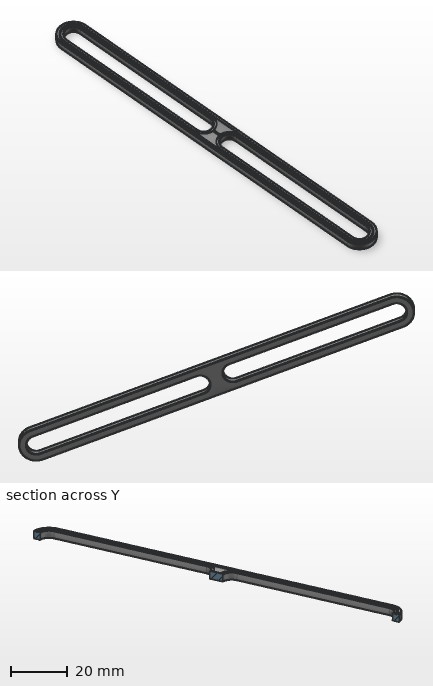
import cadquery as cq

length = 150.0
width = 12.5
thickness = 3.2
edge_chamfer = 0.3

window_width = 6.9
rim_width = (width - window_width) / 2
bridge_width = 2 * rim_width
window_length = length / 2 - rim_width - bridge_width / 2
window_offset = (bridge_width + window_length) / 2

groove_width = 0.5
recess_depth = 0.3
lip_width = (rim_width - groove_width) / 2

rib_width = 0.5


def rounded_bar(bar_length, bar_width):
    """Bar with semicircular ends, as tall as the part, standing on the XY plane."""
    return cq.Workplane("XY").slot2D(bar_length, bar_width).extrude(thickness)


def windows(margin=0.0):
    """The pair of window solids, grown on every side by the margin."""
    window = rounded_bar(window_length + 2 * margin, window_width + 2 * margin)
    left = window.translate((-window_offset, 0, 0))
    right = window.translate((window_offset, 0, 0))
    return left.union(right)


def frame():
    """Bar with both windows cut through and every top and bottom edge chamfered."""
    body = rounded_bar(length, width).cut(windows())
    return body.faces("<Z or >Z").edges().chamfer(edge_chamfer)


def recess():
    """Recess between the outer lip and the lips around the windows, divided by the rib."""
    outline = rounded_bar(length - 2 * lip_width, width - 2 * lip_width)
    rib = cq.Workplane("XY").box(bridge_width, rib_width, thickness, centered=(True, True, False))
    pocket = outline.cut(windows(margin=lip_width)).cut(rib)
    return pocket.translate((0, 0, thickness - recess_depth))


result = frame().cut(recess())